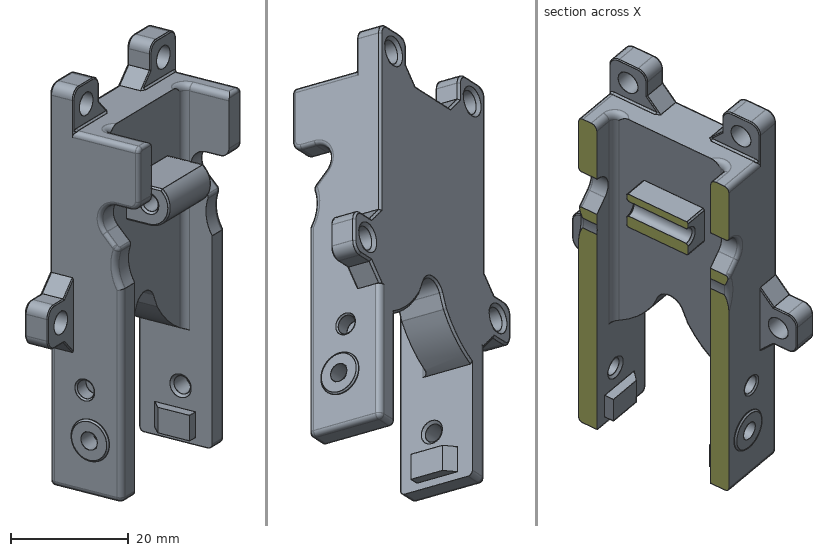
import cadquery as cq
import math

HEIGHT = 73.99
HALF_WIDTH = 16.0
WALL_INNER = 12.05
DECK_TOP = 66.2
FLOOR_DEPTH = 8.9
FLOOR_BACK = 2.0
PLATE_DEPTH = 4.8
BACK_CHAMFER = 0.4
FRONT_CHAMFER = 0.2
LUG_ROOT_CHAMFER = 0.35

LUG_HALF = 4.0
LUG_RADIUS = 2.0
LUG_SLOPE = 2.9
TOP_LUG_Y = HALF_WIDTH - LUG_HALF
TOP_LUG_Z = HEIGHT - LUG_HALF
NOTCH_SLOPE = 2.8
SIDE_LUG_Y = 19.9
SIDE_LUG_Z = {1: 32.03, -1: 32.43}
SCREW_DIAMETER = 4.2
SCREW_CHAMFER = 0.6

ARCH_SPRING_Z = 20.9
ARCH_MID = (7.7, 23.6)
ARCH_SHOULDER = (3.8, 27.9)
ARCH_CROWN_SIDE = (2.6, 30.5)
ARCH_CROWN_Z = 32.1
ARCH_CHAMFER = 0.4

WALL_DEPTH = 18.04
LEG_DEPTH = 14.65
WALL_ROUND = 1.0
FOOT_ROUND = 0.9
INNER_ROUND = 1.2
PIVOT_ROUND = 0.7
WALL_CORNER_RADIUS = 1.7
CORNER_RADIUS = 1.2
SCALLOP_BOTTOM = (LEG_DEPTH, 39.35)
SCALLOP_MID = (13.4, 43.3)
SCALLOP_TOP_X = 13.95

PIVOT_X = 13.48
PIVOT_Z = 51.37
PIVOT_RELIEF_RADIUS = 3.15
KNUCKLE_RADIUS = 4.07
KNUCKLE_SIDES = {1: 7.35, -1: -5.75}
KNUCKLE_FLAT = 3.2
KNUCKLE_CHAMFER = 0.3
PIVOT_DIAMETER = 3.1
PIVOT_CHAMFER = 0.4

BOSS_X = 8.26
BOSS_Z = 10.2
BOSS_DIAMETER = 7.7
BOSS_HEIGHT = 0.4
BOSS_CHAMFER = 0.3
BOSS_HOLE_DIAMETER = 3.3
BOSS_HOLE_CHAMFER = 0.5
PIN_X = 7.13
PIN_Z = 19.2
PIN_DIAMETER = 3.4
PIN_DEPTH = 3.0
PIN_CHAMFER = 0.3
CATCH_BACK = 3.0
CATCH_FRONT = 11.3
CATCH_BOTTOM = 1.4
CATCH_TOP = 6.1
CATCH_REACH = 1.85


def cylinder(x, y, z, direction, radius, length):
    return cq.Workplane("XY").add(
        cq.Solid.makeCylinder(radius, length, cq.Vector(x, y, z), cq.Vector(*direction))
    )


def countersink(x, y, z, direction, radius, depth):
    """45 degree cone that widens a hole of the given radius at its mouth."""
    return cq.Workplane("XY").add(
        cq.Solid.makeCone(radius + depth, radius, depth, cq.Vector(x, y, z), cq.Vector(*direction))
    )


def arch_profile(wire):
    """Continue a YZ outline across the arch from the +Y leg to the -Y leg."""
    (mid_y, mid_z), (sh_y, sh_z), (cr_y, cr_z) = ARCH_MID, ARCH_SHOULDER, ARCH_CROWN_SIDE
    return (
        wire.threePointArc((mid_y, mid_z), (sh_y, sh_z))
        .lineTo(cr_y, cr_z)
        .threePointArc((0, ARCH_CROWN_Z), (-cr_y, cr_z))
        .lineTo(-sh_y, sh_z)
        .threePointArc((-mid_y, mid_z), (-WALL_INNER, ARCH_SPRING_Z))
    )


def side_lug_points(side):
    """Outline of one side lug from its upper gusset to its lower gusset."""
    z = SIDE_LUG_Z[side]
    top = z + LUG_HALF
    bottom = z - LUG_HALF
    outer = SIDE_LUG_Y + LUG_HALF
    knee = HALF_WIDTH + LUG_SLOPE
    return [
        (side * HALF_WIDTH, top + LUG_SLOPE),
        (side * knee, top),
        (side * outer, top),
        (side * outer, bottom),
        (side * knee, bottom),
        (side * HALF_WIDTH, bottom - LUG_SLOPE),
        (side * WALL_INNER, bottom - LUG_SLOPE),
    ]


def make_plate():
    """Back plate with the four lugs, above the arch."""
    inner = TOP_LUG_Y - LUG_HALF
    wire = cq.Workplane("YZ").moveTo(-inner + NOTCH_SLOPE, DECK_TOP)
    wire = wire.lineTo(inner - NOTCH_SLOPE, DECK_TOP)
    wire = wire.lineTo(inner, DECK_TOP + NOTCH_SLOPE).lineTo(inner, HEIGHT)
    wire = wire.lineTo(HALF_WIDTH, HEIGHT)
    for point in side_lug_points(1):
        wire = wire.lineTo(*point)
    wire = arch_profile(wire.lineTo(WALL_INNER, ARCH_SPRING_Z))
    for point in reversed(side_lug_points(-1)):
        wire = wire.lineTo(*point)
    wire = wire.lineTo(-HALF_WIDTH, HEIGHT).lineTo(-inner, HEIGHT)
    plate = wire.lineTo(-inner, DECK_TOP + NOTCH_SLOPE).close().extrude(PLATE_DEPTH)

    top_corners = cq.selectors.BoxSelector((0, -20, HEIGHT - 1), (PLATE_DEPTH, 20, HEIGHT + 1))
    plate = plate.edges("|X").edges(top_corners).fillet(LUG_RADIUS)
    plate = plate.edges("|X").edges("<Y or >Y").fillet(LUG_RADIUS)

    seam_box = cq.selectors.BoxSelector(
        (-1, -HALF_WIDTH + 0.1, ARCH_SPRING_Z - 1), (PLATE_DEPTH + 1, HALF_WIDTH - 0.1, ARCH_CROWN_Z + 1)
    )
    arch_box = cq.selectors.BoxSelector(
        (-1, -WALL_INNER + 0.1, ARCH_SPRING_Z), (1, WALL_INNER - 0.1, ARCH_CROWN_Z + 1)
    )
    outline = cq.selectors.InverseSelector(seam_box)
    plate = plate.faces("<X").edges(outline).chamfer(BACK_CHAMFER)
    plate = plate.faces(">X").edges(outline).chamfer(FRONT_CHAMFER)
    return plate.faces("<X").edges(arch_box).chamfer(ARCH_CHAMFER)


def make_floor():
    """Floor between the walls; it starts inside the plate, clear of the edge chamfers at the back."""
    wire = cq.Workplane("YZ", origin=(FLOOR_BACK, 0, 0)).moveTo(-WALL_INNER, DECK_TOP)
    wire = wire.lineTo(WALL_INNER, DECK_TOP)
    wire = arch_profile(wire.lineTo(WALL_INNER, ARCH_SPRING_Z))
    return wire.close().extrude(FLOOR_DEPTH - FLOOR_BACK)


def make_wall(side):
    """Side wall and leg, with the relief around the pivot and rounded outer edges."""
    r = PIVOT_RELIEF_RADIUS
    diagonal = math.sqrt(0.5) * r
    tangent = (PIVOT_X - diagonal, PIVOT_Z - diagonal)
    relief_top = PIVOT_Z + r
    lip = (SCALLOP_TOP_X, PIVOT_Z - math.sqrt(2) * r - (SCALLOP_TOP_X - PIVOT_X))
    bend = math.radians(157.5)
    wall = (
        cq.Workplane("XZ", origin=(0, HALF_WIDTH, 0))
        .lineTo(LEG_DEPTH, 0)
        .lineTo(*SCALLOP_BOTTOM)
        .threePointArc(SCALLOP_MID, lip)
        .lineTo(*tangent)
        .threePointArc((PIVOT_X + r * math.cos(bend), PIVOT_Z + r * math.sin(bend)), (PIVOT_X, relief_top))
        .lineTo(WALL_DEPTH - WALL_CORNER_RADIUS, relief_top)
        .radiusArc((WALL_DEPTH, relief_top + WALL_CORNER_RADIUS), -WALL_CORNER_RADIUS)
        .lineTo(WALL_DEPTH, DECK_TOP)
        .lineTo(0, DECK_TOP)
        .close()
        .extrude(HALF_WIDTH - WALL_INNER)
    )
    relief_box = cq.selectors.BoxSelector((PLATE_DEPTH, 0, lip[1]), (WALL_DEPTH + 1, 20, DECK_TOP - 1))
    foot_box = cq.selectors.BoxSelector((0, 0, -1), (LEG_DEPTH, 20, 1))
    outer_edges = cq.selectors.InverseSelector(relief_box + foot_box)
    wall = wall.faces(">Y").edges(outer_edges).fillet(WALL_ROUND)
    wall = wall.faces(">Y").edges(relief_box).fillet(PIVOT_ROUND)
    wall = wall.faces("<Z").edges("not <Y").fillet(FOOT_ROUND)
    return wall if side > 0 else wall.mirror("XZ")


def round_inner_corner(body, side):
    """Round the corner between floor and wall, and the top edge that runs along wall and corner."""
    corner_box = cq.selectors.BoxSelector(
        (FLOOR_DEPTH - 0.1, side * WALL_INNER - 0.1, ARCH_SPRING_Z),
        (FLOOR_DEPTH + 0.1, side * WALL_INNER + 0.1, DECK_TOP),
    )
    body = body.edges("|Z").edges(corner_box).fillet(CORNER_RADIUS)

    center_x = FLOOR_DEPTH + CORNER_RADIUS
    center_y = side * (WALL_INNER - CORNER_RADIUS)
    near = CORNER_RADIUS
    far = CORNER_RADIUS + INNER_ROUND
    low = DECK_TOP - INNER_ROUND

    def waste(plane, sign):
        """Section between the sharp top edge and its rounding, measured from the corner axis."""
        return (
            cq.Workplane(plane, origin=(center_x, center_y, 0))
            .moveTo(sign * near, low)
            .radiusArc((sign * far, DECK_TOP), sign * INNER_ROUND)
            .lineTo(sign * near, DECK_TOP)
            .close()
        )

    around_corner = waste("XZ", -1).revolve(360, (0, 0), (0, 1))
    along_wall = waste("YZ", side).extrude(WALL_DEPTH)
    behind = cq.Workplane("XY").box(2 * far, 4 * far, 2 * far).translate((center_x - far, center_y, DECK_TOP))
    return body.cut(around_corner.intersect(behind)).cut(along_wall)


def fill_lug_root(body, side):
    """Small sloped filler in the corner between a top lug and the deck."""
    inner = TOP_LUG_Y - LUG_HALF - NOTCH_SLOPE
    root_box = cq.selectors.BoxSelector(
        (PLATE_DEPTH - 0.1, side * inner, DECK_TOP - 0.1),
        (PLATE_DEPTH + 0.1, side * HALF_WIDTH, DECK_TOP + 0.1),
    )
    return body.edges("|Y").edges(root_box).chamfer(LUG_ROOT_CHAMFER)


def make_knuckle():
    """Pivot knuckle standing on the floor between the walls, flat on top."""
    top = PIVOT_Z + KNUCKLE_FLAT
    bottom = PIVOT_Z - KNUCKLE_RADIUS
    flat_end = PIVOT_X + math.sqrt(KNUCKLE_RADIUS**2 - KNUCKLE_FLAT**2)
    knuckle = (
        cq.Workplane("XZ", origin=(0, KNUCKLE_SIDES[1], 0))
        .moveTo(PLATE_DEPTH, bottom)
        .lineTo(PIVOT_X, bottom)
        .threePointArc((PIVOT_X + KNUCKLE_RADIUS, PIVOT_Z), (flat_end, top))
        .lineTo(PLATE_DEPTH, top)
        .close()
        .extrude(KNUCKLE_SIDES[1] - KNUCKLE_SIDES[-1])
    )
    return knuckle.faces("<Y or >Y").edges("not <X").chamfer(KNUCKLE_CHAMFER)


def drill_pivot(body):
    """Through hole along Y in the knuckle, countersunk at both ends."""
    width = KNUCKLE_SIDES[1] - KNUCKLE_SIDES[-1]
    radius = PIVOT_DIAMETER / 2
    body = body.cut(cylinder(PIVOT_X, KNUCKLE_SIDES[-1], PIVOT_Z, (0, 1, 0), radius, width))
    for side, face_y in KNUCKLE_SIDES.items():
        body = body.cut(countersink(PIVOT_X, face_y, PIVOT_Z, (0, -side, 0), radius, PIVOT_CHAMFER))
    return body


def drill_screw_hole(body, y, z):
    """Through hole along X in a lug, countersunk at the back."""
    radius = SCREW_DIAMETER / 2
    body = body.cut(cylinder(0, y, z, (1, 0, 0), radius, PLATE_DEPTH))
    return body.cut(countersink(0, y, z, (1, 0, 0), radius, SCREW_CHAMFER))


def add_leg_features(body, side):
    """Outer boss with its through hole, blind pin hole above it and inner catch of one leg."""
    inward = (0, -side, 0)
    outward = (0, side, 0)
    boss_face = side * (HALF_WIDTH + BOSS_HEIGHT)
    boss = cylinder(BOSS_X, side * HALF_WIDTH, BOSS_Z, outward, BOSS_DIAMETER / 2, BOSS_HEIGHT)
    boss = boss.faces(">Y" if side > 0 else "<Y").chamfer(BOSS_CHAMFER)
    catch = (
        cq.Workplane("XY", origin=(0, 0, CATCH_BOTTOM))
        .moveTo(CATCH_BACK, side * WALL_INNER)
        .lineTo(CATCH_BACK + CATCH_REACH, side * (WALL_INNER - CATCH_REACH))
        .lineTo(CATCH_FRONT, side * (WALL_INNER - CATCH_REACH))
        .lineTo(CATCH_FRONT, side * WALL_INNER)
        .close()
        .extrude(CATCH_TOP - CATCH_BOTTOM)
    )
    body = body.union(boss).union(catch)

    hole_radius = BOSS_HOLE_DIAMETER / 2
    hole_length = HALF_WIDTH + BOSS_HEIGHT - WALL_INNER
    body = body.cut(cylinder(BOSS_X, boss_face, BOSS_Z, inward, hole_radius, hole_length))
    inner_mouth = (BOSS_X, side * WALL_INNER, BOSS_Z)
    body = body.cut(countersink(*inner_mouth, outward, hole_radius, BOSS_HOLE_CHAMFER))

    pin_mouth = (PIN_X, side * HALF_WIDTH, PIN_Z)
    body = body.cut(cylinder(*pin_mouth, inward, PIN_DIAMETER / 2, PIN_DEPTH))
    return body.cut(countersink(*pin_mouth, inward, PIN_DIAMETER / 2, PIN_CHAMFER))


result = make_plate().union(make_floor()).union(make_wall(1)).union(make_wall(-1))
for side in (1, -1):
    result = round_inner_corner(result, side)
    result = fill_lug_root(result, side)
result = drill_pivot(result.union(make_knuckle()))
for side in (1, -1):
    result = drill_screw_hole(result, side * TOP_LUG_Y, TOP_LUG_Z)
    result = drill_screw_hole(result, side * SIDE_LUG_Y, SIDE_LUG_Z[side])
    result = add_leg_features(result, side)